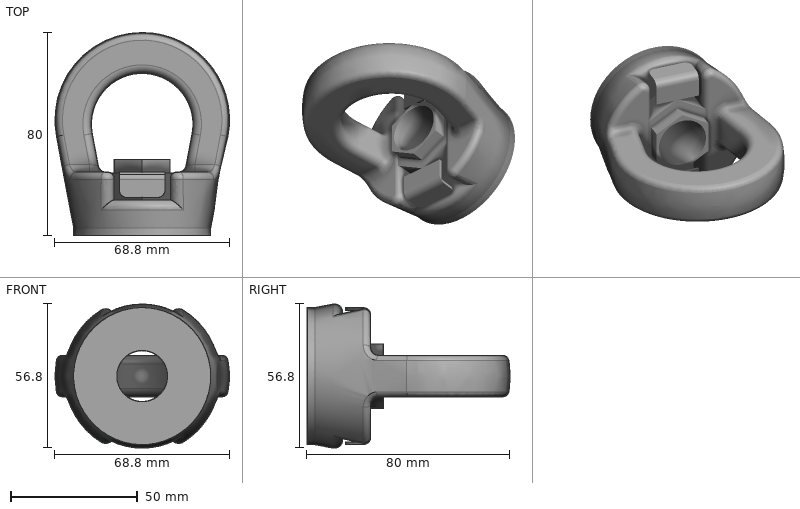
import cadquery as cq
import math


BASE_RADIUS = 54.0 / 2
DISC_HEIGHT = 3.0
BORE_DIAMETER = 20.0

TOTAL_LENGTH = 80.0
RING_RADIUS = 34.4
RING_CENTER_Y = TOTAL_LENGTH - RING_RADIUS
RING_THICKNESS = 16.4
EYE_RADIUS = 20.0
EYE_CENTER_Y = 43.9
EYE_RIM_RADIUS = 3.4

SHOULDER_Y = 25.0
SHOULDER_ROUND = 2.5
RING_FOOT_RADIUS = 3.0

SLOT_WIDTH = 22.2
SLOT_FLOOR_Y = 14.0
SLOT_EDGE_ROUND = 3.3

HEX_LARGE_FLATS = 29.0
HEX_LARGE_TOP_Y = 24.6
HEX_SMALL_FLATS = 22.0
HEX_SMALL_TOP_Y = 30.0

CLIP_WIDTH = 18.0
CLIP_THICKNESS = 1.0
CLIP_OUTER_Z = 27.0
CLIP_INNER_Z = 16.9
CLIP_TIP_Y = 15.0
CLIP_BEND_RADIUS = 3.0
CLIP_CORNER_RADIUS = 3.0

MARGIN = 0.1

RIM_RISE = RING_CENTER_Y - DISC_HEIGHT
RIM_DISTANCE = math.hypot(BASE_RADIUS, RIM_RISE)
FLARE_ANGLE = math.asin(RING_RADIUS / RIM_DISTANCE) - math.atan2(BASE_RADIUS, RIM_RISE)
TANGENT_X = RING_RADIUS * math.cos(FLARE_ANGLE)
TANGENT_Y = RING_CENTER_Y - RING_RADIUS * math.sin(FLARE_ANGLE)


def collar_radius(y):
    """Radius of the flared cone at height y."""
    return BASE_RADIUS + (y - DISC_HEIGHT) * math.tan(FLARE_ANGLE)


def box_between(x_size, y_low, y_high, z_size):
    """Box centred on x = 0 and z = 0 that spans y_low to y_high."""
    return cq.Workplane().box(x_size, y_high - y_low, z_size).translate((0, (y_low + y_high) / 2, 0))


def flared_cone(y_top):
    """Solid cone from the top of the disc up to y_top."""
    return (
        cq.Workplane("XY")
        .moveTo(0, DISC_HEIGHT)
        .lineTo(BASE_RADIUS, DISC_HEIGHT)
        .lineTo(collar_radius(y_top), y_top)
        .lineTo(0, y_top)
        .close()
        .revolve(360, (0, 0, 0), (0, 1, 0))
    )


def collar_legs():
    """Two halves of the collar beside the slot, with the slot's upright outer edges rounded."""
    half = SLOT_WIDTH / 2
    legs = flared_cone(SHOULDER_Y).cut(box_between(SLOT_WIDTH, 0, TOTAL_LENGTH, TOTAL_LENGTH))
    for side in (-1, 1):
        outer_edges = cq.selectors.BoxSelector(
            (-half - MARGIN, DISC_HEIGHT, side * BASE_RADIUS / 2),
            (half + MARGIN, SHOULDER_Y, side * TOTAL_LENGTH),
        )
        legs = legs.edges(outer_edges).fillet(SLOT_EDGE_ROUND)
    return legs


def eye_ring():
    """Ring with its tapering legs: a slab with a rounded eye, trimmed by the outer sphere and cone."""
    slab = box_between(TOTAL_LENGTH, SLOT_FLOOR_Y, TOTAL_LENGTH, RING_THICKNESS)
    flank_x = EYE_RADIUS * math.cos(FLARE_ANGLE)
    flank_y = EYE_CENTER_Y - EYE_RADIUS * math.sin(FLARE_ANGLE)
    foot_x = flank_x - flank_y * math.tan(FLARE_ANGLE)
    eye = (
        cq.Workplane("XY")
        .moveTo(foot_x, 0)
        .lineTo(flank_x, flank_y)
        .threePointArc((0, EYE_CENTER_Y + EYE_RADIUS), (-flank_x, flank_y))
        .lineTo(-foot_x, 0)
        .close()
        .extrude(RING_THICKNESS, both=True)
    )
    rim = cq.selectors.BoxSelector(
        (-EYE_RADIUS, SLOT_FLOOR_Y, -RING_THICKNESS),
        (EYE_RADIUS, TOTAL_LENGTH, RING_THICKNESS),
    )
    slab = slab.cut(eye).faces("<Z or >Z").edges(rim).fillet(EYE_RIM_RADIUS)
    outside = (
        cq.Workplane("XY")
        .moveTo(0, DISC_HEIGHT)
        .lineTo(BASE_RADIUS, DISC_HEIGHT)
        .lineTo(TANGENT_X, TANGENT_Y)
        .radiusArc((0, TOTAL_LENGTH), -RING_RADIUS)
        .close()
        .revolve(360, (0, 0, 0), (0, 1, 0))
    )
    return slab.intersect(outside)


def slot_floor():
    """Collar below the slot floor, with the rim of the floor rounded into the cone."""
    rim_radius = collar_radius(SLOT_FLOOR_Y)
    setback = SLOT_EDGE_ROUND / math.tan(math.pi / 4 - FLARE_ANGLE / 2)
    round_start_x = rim_radius - setback * math.sin(FLARE_ANGLE)
    round_start_y = SLOT_FLOOR_Y - setback * math.cos(FLARE_ANGLE)
    return (
        cq.Workplane("XY")
        .moveTo(0, DISC_HEIGHT)
        .lineTo(BASE_RADIUS, DISC_HEIGHT)
        .lineTo(round_start_x, round_start_y)
        .radiusArc((rim_radius - setback, SLOT_FLOOR_Y), -SLOT_EDGE_ROUND)
        .lineTo(0, SLOT_FLOOR_Y)
        .close()
        .revolve(360, (0, 0, 0), (0, 1, 0))
    )


def round_ring_foot(body):
    """Fill the corner where each ring leg stands on the shoulder, leaving the outer flank flush."""
    half_slab = RING_THICKNESS / 2 + MARGIN
    for side in (-1, 1):
        inner_x = side * SLOT_WIDTH / 2
        outer_x = side * RING_RADIUS
        foot = cq.selectors.BoxSelector(
            (min(inner_x, outer_x), SHOULDER_Y - MARGIN, -half_slab),
            (max(inner_x, outer_x), SHOULDER_Y + MARGIN, half_slab),
            boundingbox=True,
        )
        body = body.faces("|Y").edges(foot).fillet(RING_FOOT_RADIUS)
    return body


def round_shoulder_and_ring(body):
    """Round the slot walls' top edges; the tangent chain carries the round along shoulder and ring."""
    half = SLOT_WIDTH / 2
    wall_tops = cq.selectors.BoxSelector(
        (-half - MARGIN, SHOULDER_Y - MARGIN, -MARGIN),
        (half + MARGIN, SHOULDER_Y + MARGIN, MARGIN),
    )
    return body.edges(wall_tops).fillet(SHOULDER_ROUND)


def disc(y_low, y_high, radius):
    """Round disc on the Y axis."""
    return cq.Workplane("XZ", origin=(0, y_high, 0)).circle(radius).extrude(y_high - y_low)


def hexagon(y_low, y_high, flats):
    """Hexagonal prism on the Y axis with corners on the plane x = 0."""
    corner_diameter = flats / math.cos(math.pi / 6)
    return (
        cq.Workplane("XZ", origin=(0, y_high, 0))
        .transformed(rotate=(0, 0, 90))
        .polygon(6, corner_diameter)
        .extrude(y_high - y_low)
    )


def make_housing():
    """Lifting ring, flared collar, base and stepped hexagon in one piece, with a bore through the base."""
    collar = slot_floor().union(collar_legs())
    body = round_shoulder_and_ring(round_ring_foot(collar.union(eye_ring())))
    body = body.union(disc(0, DISC_HEIGHT, BASE_RADIUS))
    body = body.union(hexagon(DISC_HEIGHT, HEX_LARGE_TOP_Y, HEX_LARGE_FLATS))
    body = body.union(hexagon(DISC_HEIGHT, HEX_SMALL_TOP_Y, HEX_SMALL_FLATS))
    return body.cut(disc(0, HEX_SMALL_TOP_Y, BORE_DIAMETER / 2))


def make_clip():
    """Bent strip at +Z: an upright plate beside the hexagon and a tongue over the slot."""
    under_y = SHOULDER_Y - CLIP_THICKNESS
    under_z = CLIP_OUTER_Z - CLIP_THICKNESS
    strip = (
        cq.Workplane("YZ")
        .moveTo(SHOULDER_Y, CLIP_INNER_Z)
        .lineTo(SHOULDER_Y, CLIP_OUTER_Z)
        .lineTo(CLIP_TIP_Y, CLIP_OUTER_Z)
        .lineTo(CLIP_TIP_Y, under_z)
        .lineTo(under_y, under_z)
        .lineTo(under_y, CLIP_INNER_Z)
        .close()
        .extrude(CLIP_WIDTH / 2, both=True)
    )
    strip = strip.edges("|X").edges(">Y and >Z").fillet(CLIP_BEND_RADIUS)
    return strip.edges("|Z").edges("<Y").fillet(CLIP_CORNER_RADIUS)


housing = make_housing()
clips = [make_clip().rotate((0, 0, 0), (0, 1, 0), turn) for turn in (0, 180)]
result = cq.Compound.makeCompound([housing.solids().val(), *[clip.solids().val() for clip in clips]])